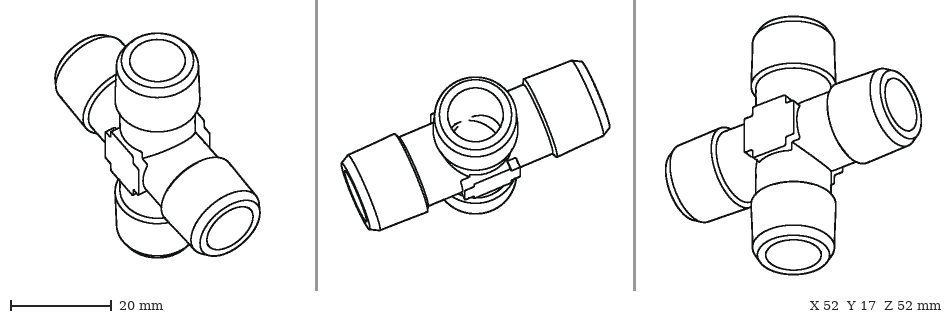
import cadquery as cq

span = 52.0
half_span = span / 2
bore_diameter = 11.0
tube_diameter = 15.0

tip_diameter = 14.35
taper_small_diameter = 16.35
collar_diameter = 16.9
tip_chamfer_length = 1.75
taper_end = 11.35
collar_end = 11.95
shoulder_end = 12.5

pad_span = 17.0
pad_length = 12.05
pad_arm_width = 8.0
pad_corner_radius = 0.4


def tapered_arm():
    """One solid arm along +Z, revolved from its half profile."""
    profile = [
        (0, 0),
        (tube_diameter / 2, 0),
        (tube_diameter / 2, half_span - shoulder_end),
        (collar_diameter / 2, half_span - collar_end),
        (collar_diameter / 2, half_span - taper_end),
        (taper_small_diameter / 2, half_span - tip_chamfer_length),
        (tip_diameter / 2, half_span),
        (0, half_span),
    ]
    return cq.Workplane("XZ").polyline(profile).close().revolve(360, (0, 0), (0, 1))


def cross_pads():
    """Rounded cross running through the junction, forming both pads."""
    upright = cq.Workplane("XY").box(pad_arm_width, pad_span, pad_length)
    crossbar = cq.Workplane("XY").box(pad_length, pad_span, pad_arm_width)
    return upright.union(crossbar).edges("|Y").fillet(pad_corner_radius)


def through_bores():
    """Two perpendicular through bores, along Z and along X."""
    vertical = cq.Workplane("XY").circle(bore_diameter / 2).extrude(half_span, both=True)
    horizontal = cq.Workplane("YZ").circle(bore_diameter / 2).extrude(half_span, both=True)
    return vertical.union(horizontal)


body = cross_pads()
arm = tapered_arm()
for angle in (0, 90, 180, 270):
    body = body.union(arm.rotate((0, 0, 0), (0, 1, 0), angle))

result = body.cut(through_bores())